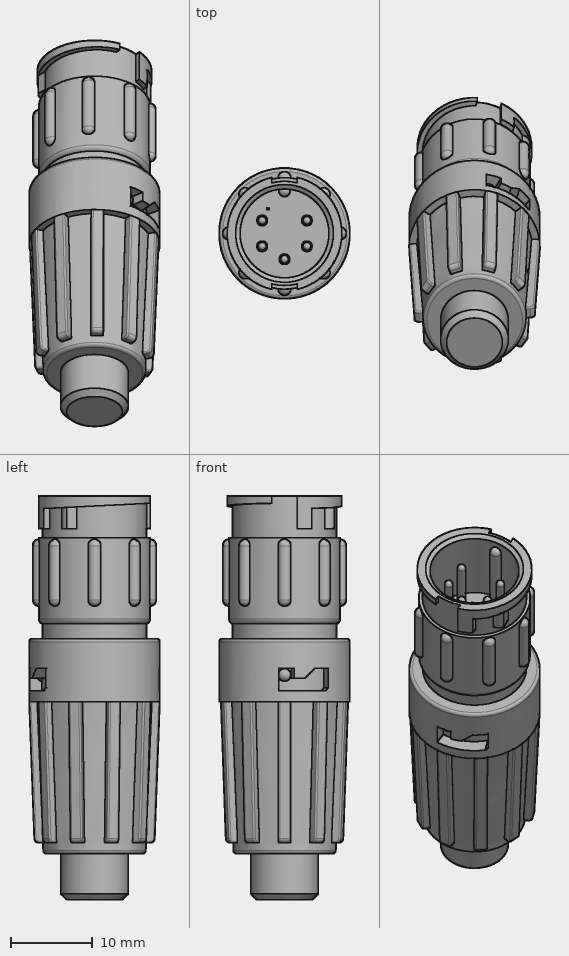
import cadquery as cq
import math

TOTAL_LENGTH = 49.3
TAIL_CHAMFER = 0.75
GRIP_BOTTOM = 5.6
SLEEVE_BOTTOM = 24.15
SLEEVE_TOP = 31.9
COLLAR_BOTTOM = 33.65
COLLAR_TOP = 44.25
SOCKET_FLOOR = 39.45

TAIL_RADIUS = 4.15
GRIP_END_RADIUS = 6.25
GRIP_TOP_RADIUS = 7.05
SLEEVE_RADIUS = 8.0
SHELL_RADIUS = 6.35
COLLAR_RADIUS = 6.8
SOCKET_RADIUS = 5.43
SOCKET_MOUTH_RADIUS = 5.95
SOCKET_MOUTH_DEPTH = 0.35

GRIP_EDGE_ROUND = 0.45
SLEEVE_EDGE_ROUND = 0.4
COLLAR_EDGE_ROUND = 0.7

GRIP_RIB_COUNT = 10
GRIP_RIB_WIDTH = 1.55
GRIP_RIB_CREST_ROUND = 0.2
GRIP_RIB_BOTTOM = 6.95
GRIP_RIB_END_RADIUS = 7.35
GRIP_RIB_END_ROUND = 0.6

COLLAR_RIB_COUNT = 8
COLLAR_RIB_RADIUS = 0.8
COLLAR_RIB_PROJECTION = 0.75
COLLAR_RIB_LOW_CENTER = 36.65
COLLAR_RIB_HIGH_CENTER = 43.25

LIP_RADIUS = 7.0
ENTRY_HALF_WIDTH = 1.55
LIP_MEAN_HEIGHT = 1.25
LIP_SLOPE = 0.05
STOP_WIDTH = 1.8
TRACK_BOTTOM = 45.33
DETENT_STOP_FOOT = (4.8, -4.0)
DETENT_BULGE = (5.5, -3.9)
DETENT_CREST = (6.05, -3.4)
DETENT_RAMP_FOOT = (5.95, -2.1)

WINDOW_FLOOR_RADIUS = 6.45
WINDOW_LEFT = -0.7
WINDOW_RIGHT = 5.35
WINDOW_RIGHT_AT_FLOOR = 4.8
WINDOW_BOTTOM = 25.55
WINDOW_STEP = 27.1
WINDOW_TOP = 28.3
WINDOW_NOTCH_RIGHT = 1.2
WINDOW_NOTCH_RIGHT_AT_FLOOR = 0.85
WINDOW_RAMP_LEFT = 2.5
WINDOW_CORNER_CHAMFER = 0.35
STUD_RADIUS = 0.8
STUD_HEIGHT = 27.45
STUD_PROJECTION = 0.65

CONTACT_CIRCLE_RADIUS = 3.15
CONTACT_RADIUS = 0.5
CONTACT_BOSS_RADIUS = 0.65
CONTACT_BOSS_HEIGHT = 0.25
CONTACT_TIP = 47.1
CONTACT_ANGLES = [30, 150, 210, 270, 330]
KEY_RADIUS = 0.7
KEY_TIP = 48.25
KEY_OFFSET = 5.2
MARK_POSITION = (-2.0, 3.0)
MARK_RADIUS = 0.15
MARK_DEPTH = 0.3


def cylinder(radius, bottom, top, x=0.0, y=0.0):
    disc = cq.Workplane("XY").workplane(offset=bottom).center(x, y).circle(radius)
    return disc.extrude(top - bottom)


def turned(body, angle):
    return body.rotate((0, 0, 0), (0, 0, 1), angle)


def ring_of(body, count):
    """Copies of one solid, evenly spaced around the axis."""
    return [turned(body, i * 360 / count) for i in range(count)]


def add_all(body, parts):
    for part in parts:
        body = body.union(part)
    return body


def turned_body():
    tail = cylinder(TAIL_RADIUS, 0, GRIP_BOTTOM).faces("<Z").chamfer(TAIL_CHAMFER)
    grip = (
        cq.Workplane("XZ")
        .moveTo(0, GRIP_BOTTOM)
        .lineTo(GRIP_END_RADIUS, GRIP_BOTTOM)
        .lineTo(GRIP_TOP_RADIUS, SLEEVE_BOTTOM)
        .lineTo(0, SLEEVE_BOTTOM)
        .close()
        .revolve(360, (0, 0, 0), (0, 1, 0))
    )
    grip = grip.faces("<Z").edges().fillet(GRIP_EDGE_ROUND)
    sleeve = cylinder(SLEEVE_RADIUS, SLEEVE_BOTTOM, SLEEVE_TOP)
    sleeve = sleeve.faces(">Z").edges().fillet(SLEEVE_EDGE_ROUND)
    shell = cylinder(SHELL_RADIUS, SLEEVE_TOP, TOTAL_LENGTH)
    collar = cylinder(COLLAR_RADIUS, COLLAR_BOTTOM, COLLAR_TOP)
    collar = collar.faces("<Z").edges().fillet(COLLAR_EDGE_ROUND)
    return add_all(tail, [grip, sleeve, shell, collar])


def grip_rib():
    """One tapered rib on the -Y side, its crest edges and lower outer end rounded."""
    profile = [
        (0, GRIP_RIB_BOTTOM),
        (-GRIP_RIB_END_RADIUS, GRIP_RIB_BOTTOM),
        (-SLEEVE_RADIUS, SLEEVE_BOTTOM),
        (0, SLEEVE_BOTTOM),
    ]
    rib = cq.Workplane("YZ").polyline(profile).close().extrude(GRIP_RIB_WIDTH / 2, both=True)
    rib = rib.faces("<Z").edges("<Y").fillet(GRIP_RIB_END_ROUND)
    return rib.faces("<Y").edges("not |X").fillet(GRIP_RIB_CREST_ROUND)


def collar_rib():
    """One upright round rib on the -Y side with a ball at each end."""
    y = COLLAR_RIB_RADIUS - COLLAR_RADIUS - COLLAR_RIB_PROJECTION
    rib = cylinder(COLLAR_RIB_RADIUS, COLLAR_RIB_LOW_CENTER, COLLAR_RIB_HIGH_CENTER, y=y)
    for z in (COLLAR_RIB_LOW_CENTER, COLLAR_RIB_HIGH_CENTER):
        rib = rib.union(cq.Workplane("XY").sphere(COLLAR_RIB_RADIUS).translate((0, y, z)))
    return rib


def bayonet_half():
    """Sloped lip on the +X side with a stop post and a detent tooth at its -Y end."""
    lip_drop = LIP_SLOPE * LIP_RADIUS
    lip_profile = [
        (-LIP_RADIUS, TOTAL_LENGTH),
        (-LIP_RADIUS, TOTAL_LENGTH - LIP_MEAN_HEIGHT - lip_drop),
        (LIP_RADIUS, TOTAL_LENGTH - LIP_MEAN_HEIGHT + lip_drop),
        (LIP_RADIUS, TOTAL_LENGTH),
    ]
    lip = (
        cq.Workplane("YZ")
        .workplane(offset=ENTRY_HALF_WIDTH)
        .polyline(lip_profile)
        .close()
        .extrude(LIP_RADIUS)
    )
    track_height = TOTAL_LENGTH - TRACK_BOTTOM
    stop = cq.Workplane("XY").box(STOP_WIDTH, LIP_RADIUS, track_height, centered=False)
    stop = stop.translate((ENTRY_HALF_WIDTH, -LIP_RADIUS, TRACK_BOTTOM))
    detent = (
        cq.Workplane("XY")
        .workplane(offset=TRACK_BOTTOM)
        .moveTo(*DETENT_STOP_FOOT)
        .threePointArc(DETENT_BULGE, DETENT_CREST)
        .lineTo(*DETENT_RAMP_FOOT)
        .close()
        .extrude(track_height)
    )
    half = lip.union(stop).union(detent)
    return half.intersect(cylinder(LIP_RADIUS, TRACK_BOTTOM, TOTAL_LENGTH))


def leaning_pocket(right, right_at_floor, bottom, top):
    """Pocket on the -Y side, its left wall square to X and its right wall leaning inwards."""
    wall_outer_y = -math.sqrt(SLEEVE_RADIUS**2 - right**2)
    wall_inner_y = -math.sqrt(WINDOW_FLOOR_RADIUS**2 - right_at_floor**2)
    lean = (right - right_at_floor) / (wall_inner_y - wall_outer_y)
    far_right = right + lean * (wall_outer_y + SLEEVE_RADIUS)
    plan = [
        (WINDOW_LEFT, wall_inner_y),
        (right_at_floor, wall_inner_y),
        (far_right, -SLEEVE_RADIUS),
        (WINDOW_LEFT, -SLEEVE_RADIUS),
    ]
    pocket = cq.Workplane("XY").workplane(offset=bottom).polyline(plan).close()
    return pocket.extrude(top - bottom)


def sleeve_window():
    """Slot on the -Y side that rises at both ends: a stud notch and a ramped end."""
    ramp_right = WINDOW_RAMP_LEFT + WINDOW_TOP - WINDOW_STEP
    slot_outline = [
        (WINDOW_LEFT, WINDOW_BOTTOM),
        (SLEEVE_RADIUS, WINDOW_BOTTOM),
        (SLEEVE_RADIUS, WINDOW_TOP),
        (ramp_right, WINDOW_TOP),
        (WINDOW_RAMP_LEFT, WINDOW_STEP),
        (WINDOW_LEFT, WINDOW_STEP),
    ]
    slot = cq.Workplane("XZ").polyline(slot_outline).close().extrude(SLEEVE_RADIUS)
    slot = slot.intersect(
        leaning_pocket(WINDOW_RIGHT, WINDOW_RIGHT_AT_FLOOR, WINDOW_BOTTOM, WINDOW_TOP)
    )
    slot = slot.faces("<Z").edges(">X").chamfer(WINDOW_CORNER_CHAMFER)
    notch = leaning_pocket(
        WINDOW_NOTCH_RIGHT, WINDOW_NOTCH_RIGHT_AT_FLOOR, WINDOW_STEP, WINDOW_TOP
    )
    return slot.union(notch).cut(cylinder(WINDOW_FLOOR_RADIUS, 0, SLEEVE_TOP))


def locking_stud():
    """Domed stud rising from the window floor on the -Y side."""
    stud = cq.Workplane("XY").sphere(STUD_RADIUS)
    stud_y = STUD_RADIUS - WINDOW_FLOOR_RADIUS - STUD_PROJECTION
    return stud.translate((0, stud_y, STUD_HEIGHT))


def socket():
    bore = cylinder(SOCKET_RADIUS, SOCKET_FLOOR, TOTAL_LENGTH)
    mouth = (
        cq.Workplane("XY")
        .workplane(offset=TOTAL_LENGTH - SOCKET_MOUTH_DEPTH)
        .circle(SOCKET_RADIUS)
        .workplane(offset=SOCKET_MOUTH_DEPTH)
        .circle(SOCKET_MOUTH_RADIUS)
        .loft()
    )
    mark = cylinder(MARK_RADIUS, SOCKET_FLOOR - MARK_DEPTH, SOCKET_FLOOR, *MARK_POSITION)
    return bore.union(mouth).union(mark)


def domed_pin(radius, tip, x, y):
    pin = cylinder(radius, SOCKET_FLOOR, tip - radius, x, y)
    return pin.union(cq.Workplane("XY").sphere(radius).translate((x, y, tip - radius)))


def contacts():
    pins = []
    for angle in CONTACT_ANGLES:
        x = CONTACT_CIRCLE_RADIUS * math.cos(math.radians(angle))
        y = CONTACT_CIRCLE_RADIUS * math.sin(math.radians(angle))
        boss = cylinder(CONTACT_BOSS_RADIUS, SOCKET_FLOOR, SOCKET_FLOOR + CONTACT_BOSS_HEIGHT, x, y)
        pins.append(boss.union(domed_pin(CONTACT_RADIUS, CONTACT_TIP, x, y)))
    return pins


result = turned_body()
result = add_all(result, ring_of(grip_rib(), GRIP_RIB_COUNT))
result = add_all(result, ring_of(collar_rib(), COLLAR_RIB_COUNT))
result = add_all(result, ring_of(bayonet_half(), 2))
for window in ring_of(sleeve_window(), 2):
    result = result.cut(window)
result = add_all(result, ring_of(locking_stud(), 2))
result = result.cut(socket())
result = add_all(result, contacts())
result = result.union(domed_pin(KEY_RADIUS, KEY_TIP, 0, KEY_OFFSET))